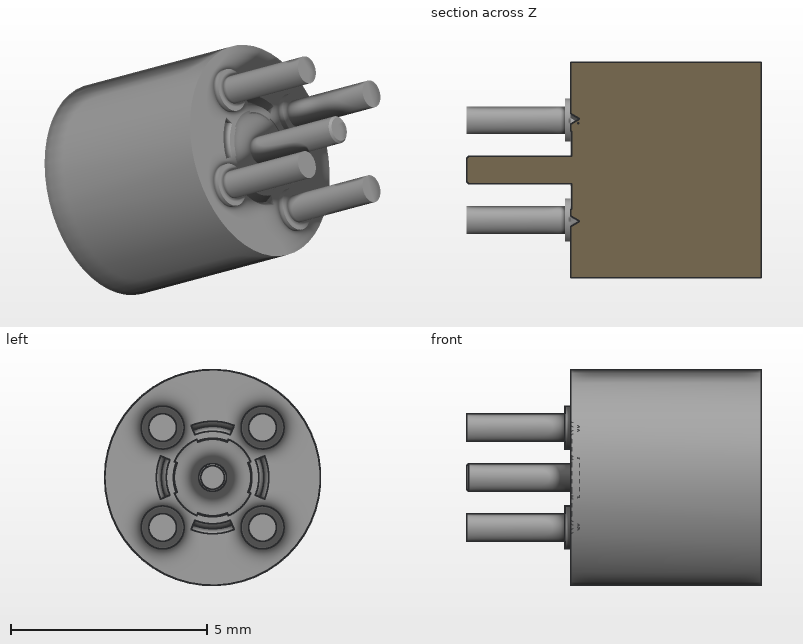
import cadquery as cq

total_length = 7.5
body_length = 4.85
body_diameter = 5.5
body_face_x = total_length - body_length

pin_radius = 0.35
pin_spacing = 2.54
centre_pin_chamfer = 0.05
collar_radius = 0.55
collar_height = 0.15

groove_inner_radius = 1.18
groove_outer_radius = 1.43
groove_depth = 0.22
stake_angle = 45.0
stake_count = 4

seat_radius = 1.05
seat_depth = 0.026
lip_radius = 0.975
lip_slope_width = 0.026


def axial_cylinder(radius, start_x, end_x):
    """Cylinder on the X axis between two X positions."""
    return cq.Workplane("YZ", origin=(start_x, 0, 0)).circle(radius).extrude(end_x - start_x)


def stake_sectors(section):
    """Sweep an (X, radius) section through the stake angle at every stake place."""
    start = cq.Workplane("XY").polyline(section).close()
    sector = start.revolve(stake_angle, (0, 0, 0), (1, 0, 0))
    sectors = cq.Workplane("XY")
    for index in range(stake_count):
        turn = index * 360.0 / stake_count - stake_angle / 2
        sectors = sectors.add(sector.rotate((0, 0, 0), (1, 0, 0), turn))
    return sectors.combine()


def make_corner_pins():
    """Four plain pins, each with a low collar where it leaves the body."""
    pin = axial_cylinder(pin_radius, 0, body_face_x)
    collar = axial_cylinder(collar_radius, body_face_x - collar_height, body_face_x)
    collared_pin = pin.union(collar)
    pins = cq.Workplane("XY")
    for y_side in (-1, 1):
        for z_side in (-1, 1):
            offset = (0, y_side * pin_spacing / 2, z_side * pin_spacing / 2)
            pins = pins.add(collared_pin.translate(offset))
    return pins.combine()


def make_centre_pin():
    """Centre pin with a chamfered tip, standing on the seat floor."""
    pin = axial_cylinder(pin_radius, 0, body_face_x + seat_depth)
    return pin.faces("<X").chamfer(centre_pin_chamfer)


def make_seat():
    """Round shallow recess, less the four lips that reach inwards."""
    floor_x = body_face_x + seat_depth
    lip_section = [
        (body_face_x, lip_radius + lip_slope_width),
        (floor_x, lip_radius),
        (floor_x, seat_radius),
        (body_face_x, seat_radius),
    ]
    return axial_cylinder(seat_radius, body_face_x, floor_x).cut(stake_sectors(lip_section))


def make_grooves():
    """V-section arc grooves, deepest midway between their two edges."""
    groove_section = [
        (body_face_x, groove_inner_radius),
        (body_face_x + groove_depth, (groove_inner_radius + groove_outer_radius) / 2),
        (body_face_x, groove_outer_radius),
    ]
    return stake_sectors(groove_section)


body = axial_cylinder(body_diameter / 2, body_face_x, total_length)
body = body.cut(make_seat()).cut(make_grooves())
result = body.union(make_corner_pins()).union(make_centre_pin())